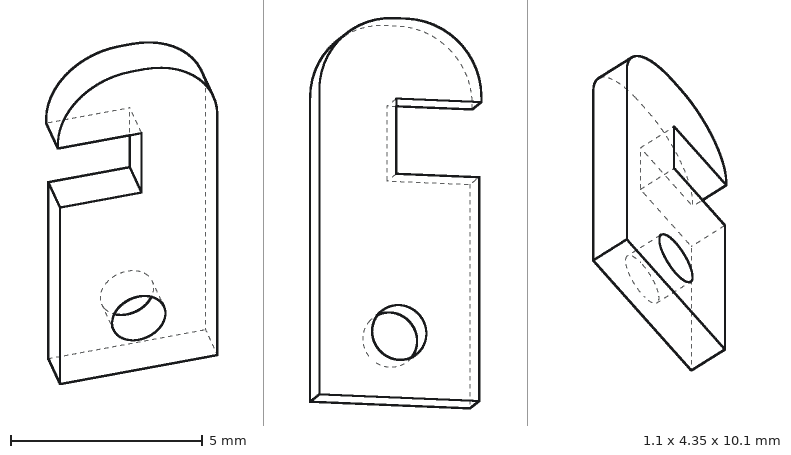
import cadquery as cq

thickness = 1.1
height = 10.1
head_width = 4.35
shank_width = 4.29
shank_height = 5.96
corner_radius = 2.0

slot_height = 2.0
neck_width = 2.07

hole_diameter = 1.45
hole_height = 1.74

back_y = head_width / 2
shank_front_y = back_y - shank_width
neck_front_y = back_y - neck_width
slot_top = shank_height + slot_height


def make_head():
    """Full-width block above the slot, with both top corners rounded."""
    return (
        cq.Workplane("XY")
        .box(thickness, head_width, height - slot_top, centered=(True, True, False))
        .translate((0, 0, slot_top))
        .edges("|X and >Z")
        .fillet(corner_radius)
    )


def make_shank_and_neck():
    """Shank below the slot and the narrow neck that joins it to the head."""
    return (
        cq.Workplane("YZ")
        .moveTo(back_y, 0)
        .lineTo(back_y, slot_top)
        .lineTo(neck_front_y, slot_top)
        .lineTo(neck_front_y, shank_height)
        .lineTo(shank_front_y, shank_height)
        .lineTo(shank_front_y, 0)
        .close()
        .extrude(thickness / 2, both=True)
    )


def make_hole():
    """Through hole on the centreline of the shank."""
    hole_y = (back_y + shank_front_y) / 2
    return (
        cq.Workplane("YZ")
        .center(hole_y, hole_height)
        .circle(hole_diameter / 2)
        .extrude(thickness, both=True)
    )


result = make_head().union(make_shank_and_neck()).clean().cut(make_hole())